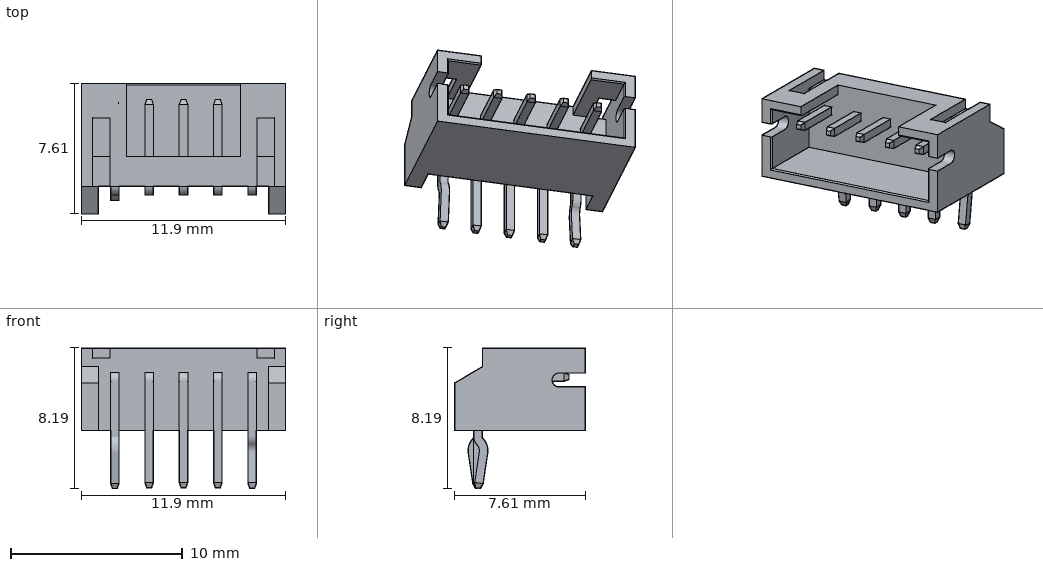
import cadquery as cq
import math

WIDTH = 11.9
HEIGHT = 4.81
DEPTH = 6.0
BACK_WALL = 1.75
SIDE_WALL = 0.67
ROOF = 0.58
FLOOR = ROOF
MOUTH_CHAMFER = 0.08

WING_REACH = 1.61
WING_WIDTH = 1.0
WING_TOP = 3.72
WING_FRONT_TOP = 2.77

ROOF_OPENING_WIDTH = 6.62
KEY_SLOT_WIDTH = 1.0
KEY_SLOT_LENGTH = 3.99
SIDE_NOTCH_HEIGHT = 0.8
SIDE_NOTCH_DEPTH = 1.93
SIDE_NOTCH_Z = 2.95

PIN_COUNT = 5
PITCH = 2.0
PIN_SIZE = 0.5
HALF_PIN = PIN_SIZE / 2
PIN_TOP = 3.37
PIN_UNDERSIDE = PIN_TOP - PIN_SIZE
PIN_BACK_Y = 0.0
LEG_AXIS_Y = PIN_BACK_Y - HALF_PIN
CONTACT_END_Y = 5.06
LEG_END_Z = -3.33
TIP_LENGTH = 0.3
TIP_SIZE = 0.29

KINK_START_Z = -0.35
KINK_ANGLE = math.radians(43.6)
RETURN_ANGLE = math.radians(8.6)
FIRST_BEND_RADIUS = 0.17
SECOND_BEND_RADIUS = 1.04
KINK_STRAIGHT = 1.78


def block(x_min, x_max, y_min, y_max, z_min, z_max):
    """Box between two limits on each axis."""
    size = (x_max - x_min, y_max - y_min, z_max - z_min)
    return cq.Workplane("XY").box(*size, centered=False).translate((x_min, y_min, z_min))


def pin_positions():
    """X of each pin, centred on the housing."""
    return [(i - (PIN_COUNT - 1) / 2) * PITCH for i in range(PIN_COUNT)]


def cavity():
    """Mating cavity, open at +Y, with a chamfer around its mouth."""
    half_width = WIDTH / 2 - SIDE_WALL
    ceiling = HEIGHT - ROOF
    room = block(-half_width, half_width, BACK_WALL, DEPTH, FLOOR, ceiling)
    mouth = (
        cq.Workplane("XZ", origin=(0, DEPTH, (FLOOR + ceiling) / 2))
        .rect(2 * (half_width + MOUTH_CHAMFER), ceiling - FLOOR + 2 * MOUTH_CHAMFER)
        .extrude(MOUTH_CHAMFER, taper=45)
    )
    return room.union(mouth)


def side_notches():
    """Round-ended notch through both side walls, open at the mouth."""
    radius = SIDE_NOTCH_HEIGHT / 2
    arc_y = DEPTH - SIDE_NOTCH_DEPTH + radius
    return (
        cq.Workplane("YZ", origin=(-WIDTH / 2, 0, SIDE_NOTCH_Z))
        .moveTo(DEPTH, radius)
        .lineTo(arc_y, radius)
        .threePointArc((arc_y - radius, 0), (arc_y, -radius))
        .lineTo(DEPTH, -radius)
        .close()
        .extrude(WIDTH)
    )


def wing(x_min):
    """Mounting wing behind one side of the housing, with a sloping top."""
    return (
        cq.Workplane("YZ", origin=(x_min, 0, 0))
        .polyline([(0, 0), (-WING_REACH, 0), (-WING_REACH, WING_FRONT_TOP), (0, WING_TOP)])
        .close()
        .extrude(WING_WIDTH)
    )


def make_housing():
    body = block(-WIDTH / 2, WIDTH / 2, 0, DEPTH, 0, HEIGHT)
    body = body.union(wing(-WIDTH / 2)).union(wing(WIDTH / 2 - WING_WIDTH))
    body = body.cut(cavity()).cut(side_notches())

    half_opening = ROOF_OPENING_WIDTH / 2
    body = body.cut(block(-half_opening, half_opening, BACK_WALL, DEPTH, HEIGHT - ROOF, HEIGHT))

    slot_outer = WIDTH / 2 - SIDE_WALL
    for x_min in (-slot_outer, slot_outer - KEY_SLOT_WIDTH):
        body = body.cut(block(x_min, x_min + KEY_SLOT_WIDTH, 0, KEY_SLOT_LENGTH, HEIGHT - ROOF, HEIGHT))

    for x in pin_positions():
        body = body.cut(block(x - HALF_PIN, x + HALF_PIN, 0, BACK_WALL, PIN_UNDERSIDE, PIN_TOP))
    return body


def tip(y, z, y_direction, z_direction):
    """Tapered point of a pin at X = 0, starting at (y, z) and pointing along the direction."""
    base = cq.Plane(origin=(0, y, z), xDir=(1, 0, 0), normal=(0, y_direction, z_direction))
    return (
        cq.Workplane(base)
        .rect(PIN_SIZE, PIN_SIZE)
        .workplane(offset=TIP_LENGTH)
        .rect(TIP_SIZE, TIP_SIZE)
        .loft(ruled=True)
    )


def contact_and_bend(leg_z):
    """Horizontal contact with its tip, rounded bend and vertical leg down to leg_z."""
    shaft_end_y = CONTACT_END_Y - TIP_LENGTH
    front_y = PIN_BACK_Y - PIN_SIZE
    bend_mid_y = PIN_BACK_Y - PIN_SIZE * math.sqrt(0.5)
    bend_mid_z = PIN_UNDERSIDE + PIN_SIZE * math.sqrt(0.5)
    bar = (
        cq.Workplane("YZ", origin=(-HALF_PIN, 0, 0))
        .moveTo(shaft_end_y, PIN_TOP)
        .lineTo(shaft_end_y, PIN_UNDERSIDE)
        .lineTo(PIN_BACK_Y, PIN_UNDERSIDE)
        .lineTo(PIN_BACK_Y, leg_z)
        .lineTo(front_y, leg_z)
        .lineTo(front_y, PIN_UNDERSIDE)
        .threePointArc((bend_mid_y, bend_mid_z), (PIN_BACK_Y, PIN_TOP))
        .close()
        .extrude(PIN_SIZE)
    )
    return bar.union(tip(shaft_end_y, PIN_TOP - HALF_PIN, 1, 0))


def kinked_leg(side):
    """Lower leg that steps out to one side (+1 or -1 along Y) and slopes back to its tip."""

    def around(centre, radius, angle):
        """Point at an angle measured from the outward direction, downwards positive."""
        return (centre[0] + side * radius * math.cos(angle), centre[1] - radius * math.sin(angle))

    half_turn = math.pi
    first_centre = (LEG_AXIS_Y + side * (HALF_PIN + FIRST_BEND_RADIUS), KINK_START_Z)
    first_end = half_turn - KINK_ANGLE
    first_mid = half_turn - KINK_ANGLE / 2
    second_centre = around(first_centre, FIRST_BEND_RADIUS + SECOND_BEND_RADIUS, first_end)
    second_mid = (RETURN_ANGLE - KINK_ANGLE) / 2

    first_outward = FIRST_BEND_RADIUS
    first_inward = FIRST_BEND_RADIUS + PIN_SIZE
    second_outward = SECOND_BEND_RADIUS
    second_inward = SECOND_BEND_RADIUS - PIN_SIZE

    slope = (-side * math.sin(RETURN_ANGLE), -math.cos(RETURN_ANGLE))

    def down_slope(point):
        return (point[0] + KINK_STRAIGHT * slope[0], point[1] + KINK_STRAIGHT * slope[1])

    outward_end = around(second_centre, second_outward, RETURN_ANGLE)
    inward_end = around(second_centre, second_inward, RETURN_ANGLE)
    leg = (
        cq.Workplane("YZ", origin=(-HALF_PIN, 0, 0))
        .moveTo(*around(first_centre, first_outward, half_turn))
        .threePointArc(
            around(first_centre, first_outward, first_mid),
            around(first_centre, first_outward, first_end),
        )
        .threePointArc(around(second_centre, second_outward, second_mid), outward_end)
        .lineTo(*down_slope(outward_end))
        .lineTo(*down_slope(inward_end))
        .lineTo(*inward_end)
        .threePointArc(
            around(second_centre, second_inward, second_mid),
            around(second_centre, second_inward, -KINK_ANGLE),
        )
        .threePointArc(
            around(first_centre, first_inward, first_mid),
            around(first_centre, first_inward, half_turn),
        )
        .close()
        .extrude(PIN_SIZE)
    )
    axis_end = down_slope(around(second_centre, SECOND_BEND_RADIUS - HALF_PIN, RETURN_ANGLE))
    return leg.union(tip(*axis_end, *slope))


def make_straight_pin():
    leg_z = LEG_END_Z + TIP_LENGTH
    return contact_and_bend(leg_z).union(tip(LEG_AXIS_Y, leg_z, 0, -1))


def make_kinked_pin(side):
    return contact_and_bend(KINK_START_Z).union(kinked_leg(side))


housing = make_housing()

first_x, *middle_xs, last_x = pin_positions()
straight_pins = [make_straight_pin().translate((x, 0, 0)) for x in middle_xs]
kinked_pins = [
    make_kinked_pin(side).translate((x, 0, 0)) for x, side in ((first_x, -1), (last_x, 1))
]

result = cq.Compound.makeCompound([housing.val(), *[pin.val() for pin in straight_pins + kinked_pins]])